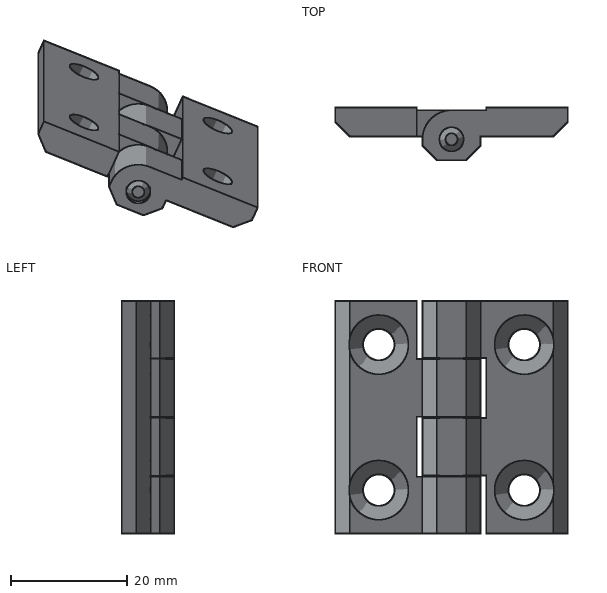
import cadquery as cq


width = 40.0
height = 40.0

plate_thickness = 5.0
edge_chamfer = 2.5
back_relief = 0.5

knuckle_radius = 5.0
knuckle_front = 3.6
slot_half_width = 5.95
middle_knuckle = 9.95
knuckle_gap = 0.145
end_knuckle = (height - 2 * middle_knuckle - 3 * knuckle_gap) / 2

hole_pitch = 25.0
hole_diameter = 5.35
countersink_diameter = 10.2
countersink_angle = 90.0

pin_diameter = 4.15
pin_tip_diameter = 2.1
pin_chamfer = (pin_diameter - pin_tip_diameter) / 2

back_y = knuckle_radius + back_relief
front_y = back_y - plate_thickness


def plate_profile():
    """Section of a plate on the +X side, with its outer front edge chamfered."""
    outer_x = width / 2
    return (
        cq.Workplane("XY")
        .moveTo(slot_half_width, front_y)
        .lineTo(outer_x - edge_chamfer, front_y)
        .lineTo(outer_x, front_y + edge_chamfer)
        .lineTo(outer_x, back_y)
        .lineTo(slot_half_width, back_y)
        .close()
    )


def knuckle_profile():
    """Section of a knuckle: rounded back corner, chamfered front, web to the plate."""
    flat_half = knuckle_radius - edge_chamfer
    shoulder_y = edge_chamfer - knuckle_front
    arc_offset = knuckle_radius / 2 ** 0.5
    return (
        cq.Workplane("XY")
        .moveTo(slot_half_width, knuckle_radius)
        .lineTo(0, knuckle_radius)
        .threePointArc((-arc_offset, arc_offset), (-knuckle_radius, 0))
        .lineTo(-knuckle_radius, shoulder_y)
        .lineTo(-flat_half, -knuckle_front)
        .lineTo(flat_half, -knuckle_front)
        .lineTo(knuckle_radius, shoulder_y)
        .lineTo(knuckle_radius, front_y)
        .lineTo(slot_half_width, front_y)
        .close()
    )


def knuckle(bottom, length):
    return knuckle_profile().extrude(length).translate((0, 0, bottom))


def drill_screw_holes(leaf):
    """Two countersunk holes through the plate, opening at the front."""
    front_plane = cq.Plane(origin=(0, front_y, 0), xDir=(1, 0, 0), normal=(0, -1, 0))
    return (
        cq.Workplane(front_plane)
        .add(leaf)
        .pushPoints([(hole_pitch / 2, side * hole_pitch / 2) for side in (-1, 1)])
        .cskHole(hole_diameter, countersink_diameter, countersink_angle)
    )


def make_leaf():
    """Right leaf: a plate with one knuckle at the top and one below the middle."""
    leaf = plate_profile().extrude(height).translate((0, 0, -height / 2))
    leaf = leaf.union(knuckle(height / 2 - end_knuckle, end_knuckle))
    leaf = leaf.union(knuckle(-knuckle_gap / 2 - middle_knuckle, middle_knuckle))
    leaf = drill_screw_holes(leaf)
    bore = cq.Workplane("XY").circle(pin_diameter / 2).extrude(height / 2, both=True)
    return leaf.cut(bore)


def make_pin():
    """Full-height pin with both ends chamfered."""
    return (
        cq.Workplane("XY")
        .circle(pin_diameter / 2)
        .extrude(height / 2, both=True)
        .faces("<Z or >Z")
        .chamfer(pin_chamfer)
    )


right_leaf = make_leaf()
left_leaf = right_leaf.rotate((0, 0, 0), (0, 1, 0), 180)
pin = make_pin()

bodies = [right_leaf, left_leaf, pin]
result = cq.Compound.makeCompound([body.solids().val() for body in bodies])